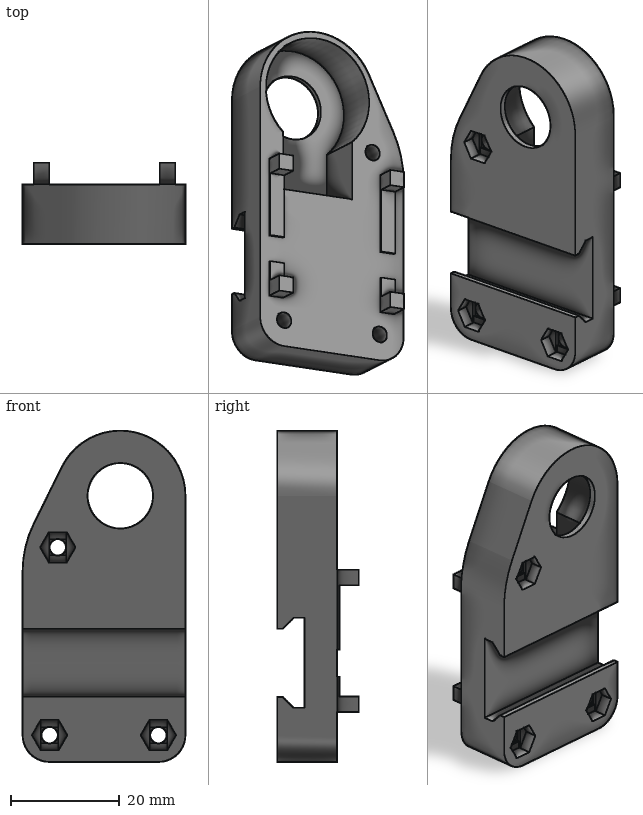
import cadquery as cq
import math

width = 30.0
thickness = 11.0
corner_radius = 5.0

eye_radius = 12.0
eye_x = width - eye_radius
eye_z = 48.98
shoulder_radius = 20.0
shoulder_z = 35.0

eye_hole_diameter = 12.0
eye_pocket_diameter = 21.58
eye_wall = 1.2

channel_right_x = 25.2
channel_half_width = channel_right_x - eye_x
channel_bottom_z = 30.0

rail_z = 18.25
rail_depth = 5.0
rail_mouth = 12.5
rail_chamfer = 2.0
rail_lip = 1.0
rail_floor = rail_mouth + 2 * rail_chamfer

screw_diameter = 3.0
nut_corners = 6.5
nut_flats = nut_corners * math.sqrt(3) / 2
nut_depth = 2.3
step_width = 3.2
step_depth = 0.3
screw_places = [(5.0, 4.95), (width - 5.0, 4.95), (6.5, 39.5)]

peg_size = 2.9
peg_height = 4.0
rib_height = 0.5
peg_left_x = 2.05
peg_right_x = 25.25
lower_peg_z = 9.2
upper_peg_z = 32.5
lower_rib_top = 15.7
upper_rib_bottom = 20.7


def box(x, y, z, size_x, size_y, size_z):
    """Box with its lowest corner at (x, y, z)."""
    return cq.Workplane("XY").box(size_x, size_y, size_z, centered=False).translate((x, y, z))


def cylinder(x, z, diameter, y_start, y_end):
    """Cylinder along Y between two depths."""
    profile = cq.Workplane("XZ", origin=(x, y_start, z)).circle(diameter / 2)
    return profile.extrude(y_start - y_end)


def plate():
    """Plate whose left side leans in along a line tangent to shoulder and eye."""
    run_x = eye_x - shoulder_radius
    run_z = eye_z - shoulder_z
    run = math.hypot(run_x, run_z)
    tangent_angle = math.atan2(run_z, run_x) + math.acos((shoulder_radius - eye_radius) / run)

    def on_shoulder(angle):
        return (
            shoulder_radius + shoulder_radius * math.cos(angle),
            shoulder_z + shoulder_radius * math.sin(angle),
        )

    def on_eye(angle):
        return (eye_x + eye_radius * math.cos(angle), eye_z + eye_radius * math.sin(angle))

    outline = (
        cq.Workplane("XZ")
        .moveTo(0, 0)
        .lineTo(0, shoulder_z)
        .threePointArc(on_shoulder((math.pi + tangent_angle) / 2), on_shoulder(tangent_angle))
        .lineTo(*on_eye(tangent_angle))
        .threePointArc(on_eye(tangent_angle / 2), on_eye(0))
        .lineTo(width, 0)
        .close()
    )
    body = outline.extrude(-thickness)
    return body.edges("|Y and <Z").fillet(corner_radius)


def eye_opening():
    """Front hole, round pocket behind it and the channel below the pocket."""
    hole = cylinder(eye_x, eye_z, eye_hole_diameter, 0, thickness)
    pocket = cylinder(eye_x, eye_z, eye_pocket_diameter, eye_wall, thickness)
    channel = box(
        eye_x - channel_half_width,
        eye_wall,
        channel_bottom_z,
        2 * channel_half_width,
        thickness - eye_wall,
        eye_z - channel_bottom_z,
    )
    return hole.union(pocket).union(channel)


def rail_groove():
    """Dovetail groove with a straight lip, sloped flanks and a square floor."""
    half_mouth = rail_mouth / 2
    half_floor = rail_floor / 2
    slope_end = rail_lip + rail_chamfer
    return (
        cq.Workplane("YZ")
        .moveTo(0, rail_z - half_mouth)
        .lineTo(rail_lip, rail_z - half_mouth)
        .lineTo(slope_end, rail_z - half_floor)
        .lineTo(rail_depth, rail_z - half_floor)
        .lineTo(rail_depth, rail_z + half_floor)
        .lineTo(slope_end, rail_z + half_floor)
        .lineTo(rail_lip, rail_z + half_mouth)
        .lineTo(0, rail_z + half_mouth)
        .close()
        .extrude(width)
    )


def screw_hole(x, z):
    """Nut pocket narrowing to the screw hole through two shallow steps."""
    front = cq.Workplane("XZ", origin=(x, 0, z))
    nut = front.polygon(6, nut_corners).extrude(-nut_depth)
    flat_step = front.rect(step_width, nut_flats).extrude(-(nut_depth + step_depth))
    narrow_step = front.rect(step_width, screw_diameter).extrude(-(nut_depth + 2 * step_depth))
    hole = cylinder(x, z, screw_diameter, 0, thickness)
    return nut.union(flat_step).union(narrow_step).union(hole)


def pegs_and_ribs(x):
    """Two pegs on one side, each with a low rib reaching towards the other."""
    lower_peg = box(x, thickness, lower_peg_z, peg_size, peg_height, peg_size)
    upper_peg = box(x, thickness, upper_peg_z, peg_size, peg_height, peg_size)
    lower_rib = box(x, thickness, lower_peg_z, peg_size, rib_height, lower_rib_top - lower_peg_z)
    upper_rib_length = upper_peg_z + peg_size - upper_rib_bottom
    upper_rib = box(x, thickness, upper_rib_bottom, peg_size, rib_height, upper_rib_length)
    return lower_peg.union(upper_peg).union(lower_rib).union(upper_rib)


result = plate().cut(eye_opening()).cut(rail_groove())
for screw_x, screw_z in screw_places:
    result = result.cut(screw_hole(screw_x, screw_z))
for peg_x in (peg_left_x, peg_right_x):
    result = result.union(pegs_and_ribs(peg_x))